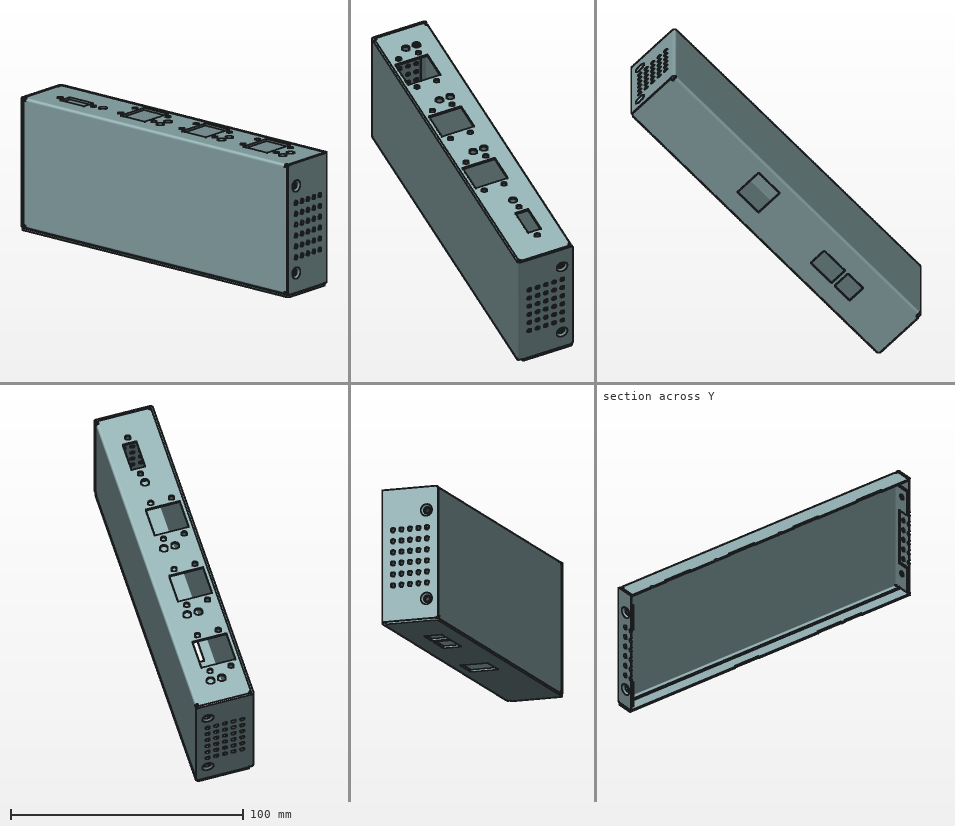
import cadquery as cq

LENGTH = 153.0
DEPTH = 26.0
HEIGHT = 59.5

SHEET = 1.0
BEND_INNER = 0.23
BEND_OUTER = BEND_INNER + SHEET

BACK_BENDS = "(>Y and <Z) or (>Y and |Z)"
WALL_CORNER = 0.9
FLOOR_CORNER = 1.4
FLOOR_GAP = 0.2
FLOOR_RELIEF_DEPTH = 2.3

LIP_DEPTH = 3.0
TAB_DEPTH = 8.5
TAB_HEIGHT = 12.1
TAB_BELOW_SCREW = 7.6
COVER_CORNER = 1.4

SCREW_Y = 5.2
SCREW_Z = (10.0, 49.1)
SCREW_HEAD_DIA = 5.2
SCREW_HOLE_DIA = 3.0
TAPPED_HOLE_DIA = 2.5

VENT_DIA = 2.0
VENT_COLUMNS = 5
VENT_ROWS = 6
VENT_PITCH_Y = 3.9
VENT_PITCH_Z = 4.9
VENT_FIRST_Y = 5.0
VENT_FIRST_Z = 17.0

PORT_X = (56.8, 91.8, 126.8)
PORT_FRONT = 8.1
PORT_LENGTH = 13.8
PORT_WIDTH = 15.3
PORT_SCREW_SPAN = 19.0
PORT_SCREW_Y = (11.2, 20.5)
SMALL_HOLE_DIA = 2.5
LAMP_OFFSET = 14.2
LAMP_Y = (10.0, 15.0)
LAMP_DIA = 3.5

SLOT_X = 22.2
SLOT_FRONT = PORT_FRONT
SLOT_LENGTH = 13.5
SLOT_WIDTH = 6.1
SLOT_SCREW_SPAN = 19.1
SLOT_LAMP_X = 36.5
SLOT_LAMP_Y = 11.8

FLOOR_FRONT = PORT_FRONT
FLOOR_OPENINGS = (
    (26.3, 9.3, 8.1),
    (37.5, 12.9, 8.1),
    (82.6, 13.0, 12.7),
)


def block(x, y, z, length, depth, height):
    """Box from its lower front left corner."""
    return cq.Workplane("XY").box(length, depth, height, centered=False).translate((x, y, z))


def side_holes(points, diameter):
    """Cylinders along X that cross the whole box at the given (y, z) points."""
    return cq.Workplane("YZ").pushPoints(points).circle(diameter / 2).extrude(LENGTH)


def top_holes(points, diameter):
    """Cylinders along Z that cross the top panel at the given (x, y) points."""
    plane = cq.Workplane("XY", origin=(0, 0, HEIGHT - SHEET))
    return plane.pushPoints(points).circle(diameter / 2).extrude(SHEET)


def screw_points():
    return [(SCREW_Y, z) for z in SCREW_Z]


def vent_points():
    return [
        (VENT_FIRST_Y + column * VENT_PITCH_Y, VENT_FIRST_Z + row * VENT_PITCH_Z)
        for column in range(VENT_COLUMNS)
        for row in range(VENT_ROWS)
    ]


def countersinks():
    """Cones through both side walls, wide at the outer faces."""
    head = SCREW_HEAD_DIA / 2
    hole = SCREW_HOLE_DIA / 2
    cones = []
    for y, z in screw_points():
        for x, direction in ((0, 1), (LENGTH, -1)):
            start = cq.Vector(x, y, z)
            cones.append(cq.Solid.makeCone(head, hole, SHEET, start, cq.Vector(direction, 0, 0)))
    return cones


def make_base():
    tray = block(0, 0, 0, LENGTH, DEPTH, HEIGHT)
    tray = tray.edges(BACK_BENDS).fillet(BEND_OUTER)
    cavity = block(SHEET, -SHEET, SHEET, LENGTH - 2 * SHEET, DEPTH, HEIGHT)
    cavity = cavity.edges(BACK_BENDS).fillet(BEND_INNER)
    base = tray.cut(cavity)

    base = base.cut(block(0, 0, SHEET, LENGTH, DEPTH - BEND_OUTER, FLOOR_GAP))

    relief_y = DEPTH - FLOOR_RELIEF_DEPTH
    for x in (0, LENGTH - BEND_OUTER):
        base = base.cut(block(x, relief_y, 0, BEND_OUTER, FLOOR_RELIEF_DEPTH, BEND_OUTER))

    wall_front = cq.selectors.BoxSelector((-1.5, -1.5, SHEET + FLOOR_GAP / 2), (LENGTH + 1.5, 1.5, HEIGHT + 1.5))
    floor_front = cq.selectors.BoxSelector((-1.5, -1.5, 0), (LENGTH + 1.5, 1.5, SHEET))
    base = base.edges("|X").edges(wall_front).fillet(WALL_CORNER)
    base = base.edges("|Z").edges(floor_front).fillet(FLOOR_CORNER)

    for left, length, width in FLOOR_OPENINGS:
        base = base.cut(block(left, FLOOR_FRONT, 0, length, width, SHEET))
    base = base.cut(side_holes(vent_points(), VENT_DIA))
    for cone in countersinks():
        base = base.cut(cq.Workplane(cone))
    return base


def top_opening(center_x, front, length, width):
    """Rectangular block that crosses the top panel."""
    return block(center_x - length / 2, front, HEIGHT - SHEET, length, width, SHEET)


def cut_port(cover, x):
    """Square opening, four screw holes around it and two lamp holes to its right."""
    screws = [(x + side * PORT_SCREW_SPAN / 2, y) for side in (-1, 1) for y in PORT_SCREW_Y]
    lamps = [(x + LAMP_OFFSET, y) for y in LAMP_Y]
    cover = cover.cut(top_opening(x, PORT_FRONT, PORT_LENGTH, PORT_WIDTH))
    cover = cover.cut(top_holes(screws, SMALL_HOLE_DIA))
    return cover.cut(top_holes(lamps, LAMP_DIA))


def cut_slot(cover):
    """Narrow opening with a screw hole at each end and one lamp hole."""
    screw_y = SLOT_FRONT + SLOT_WIDTH / 2
    screws = [(SLOT_X + side * SLOT_SCREW_SPAN / 2, screw_y) for side in (-1, 1)]
    cover = cover.cut(top_opening(SLOT_X, SLOT_FRONT, SLOT_LENGTH, SLOT_WIDTH))
    cover = cover.cut(top_holes(screws, SMALL_HOLE_DIA))
    return cover.cut(top_holes([(SLOT_LAMP_X, SLOT_LAMP_Y)], LAMP_DIA))


def make_cover():
    inner_length = LENGTH - 2 * SHEET
    shell = block(SHEET, 0, SHEET, inner_length, DEPTH - SHEET, HEIGHT - SHEET)
    shell = shell.edges("|Z and >Y").chamfer(COVER_CORNER)
    shell = shell.faces("<Y").edges().fillet(BEND_OUTER)
    cavity = block(2 * SHEET, SHEET, 2 * SHEET, inner_length - 2 * SHEET, DEPTH, HEIGHT - 3 * SHEET)
    cavity = cavity.faces("<Y").edges().fillet(BEND_INNER)
    cover = shell.cut(cavity)

    for x in (SHEET, LENGTH - SHEET - BEND_OUTER):
        for z in (SHEET, HEIGHT - BEND_OUTER):
            cover = cover.cut(block(x, 0, z, BEND_OUTER, BEND_OUTER, BEND_OUTER))

    trim = block(0, LIP_DEPTH, 0, LENGTH, DEPTH, HEIGHT - SHEET)
    for z in SCREW_Z:
        trim = trim.cut(block(0, 0, z - TAB_BELOW_SCREW, LENGTH, TAB_DEPTH, TAB_HEIGHT))
    cover = cover.cut(trim)
    cover = cover.cut(side_holes(screw_points(), TAPPED_HOLE_DIA))

    for x in PORT_X:
        cover = cut_port(cover, x)
    return cut_slot(cover)


base = make_base()
cover = make_cover()
result = cq.Compound.makeCompound([base.val(), cover.val()])